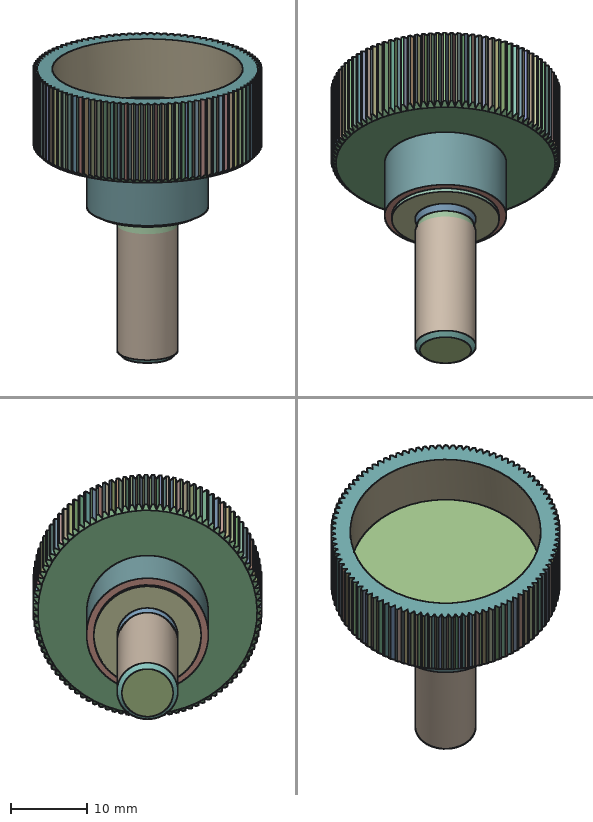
import cadquery as cq
import math

total_height = 39.5
head_height = 11.0
hub_length = 8.0
collar_length = 0.5

head_diameter = 30.0
head_radius = head_diameter / 2
groove_count = 100
groove_depth = 0.55
groove_width = 0.65
head_chamfer = 0.65
recess_radius = 12.5
recess_depth = 8.0

hub_radius = 7.98
collar_radius = 7.05

stud_radius = 4.0
neck_radius = 3.7
neck_upper_length = 0.95
neck_lower_length = 1.03
stud_chamfer = 0.65

head_bottom = total_height - head_height
hub_bottom = head_bottom - hub_length
collar_bottom = hub_bottom - collar_length
neck_waist = collar_bottom - neck_upper_length
neck_bottom = neck_waist - neck_lower_length


def polar(radius, angle):
    return (radius * math.cos(angle), radius * math.sin(angle))


def knurl_outline():
    """Closed outline of V grooves separated by arcs on the head cylinder."""
    pitch = 2 * math.pi / groove_count
    half_groove = math.asin(groove_width / 2 / head_radius)
    outline = cq.Workplane("XY", origin=(0, 0, head_bottom))
    outline = outline.moveTo(*polar(head_radius, -half_groove))
    for index in range(groove_count):
        groove_angle = index * pitch
        land_start = groove_angle + half_groove
        land_middle = groove_angle + pitch / 2
        land_end = groove_angle + pitch - half_groove
        outline = outline.lineTo(*polar(head_radius - groove_depth, groove_angle))
        outline = outline.lineTo(*polar(head_radius, land_start))
        outline = outline.threePointArc(polar(head_radius, land_middle), polar(head_radius, land_end))
    return outline.close()


def chamfer_cutter():
    """Ring that bevels the lower edge of the head at 45 degrees, with clearance outside it."""
    clearance = 0.4
    reach = head_chamfer + clearance
    return (
        cq.Workplane("XZ")
        .moveTo(head_radius - reach, head_bottom - clearance)
        .lineTo(head_radius + clearance, head_bottom - clearance)
        .lineTo(head_radius + clearance, head_bottom + reach)
        .close()
        .revolve(360, (0, 0, 0), (0, 1, 0))
    )


def knurled_head():
    head = knurl_outline().extrude(head_height).cut(chamfer_cutter())
    recess = (
        cq.Workplane("XY", origin=(0, 0, total_height - recess_depth))
        .circle(recess_radius)
        .extrude(recess_depth)
    )
    return head.cut(recess)


def hub_and_stud():
    """Turned shank: hub, collar, waisted neck and chamfered stud."""
    half_profile = [
        (0, 0),
        (stud_radius - stud_chamfer, 0),
        (stud_radius, stud_chamfer),
        (stud_radius, neck_bottom),
        (neck_radius, neck_waist),
        (stud_radius, collar_bottom),
        (collar_radius, collar_bottom),
        (collar_radius, hub_bottom),
        (hub_radius, hub_bottom),
        (hub_radius, head_bottom),
        (0, head_bottom),
    ]
    return cq.Workplane("XZ").polyline(half_profile).close().revolve(360, (0, 0, 0), (0, 1, 0))


result = knurled_head().union(hub_and_stud())